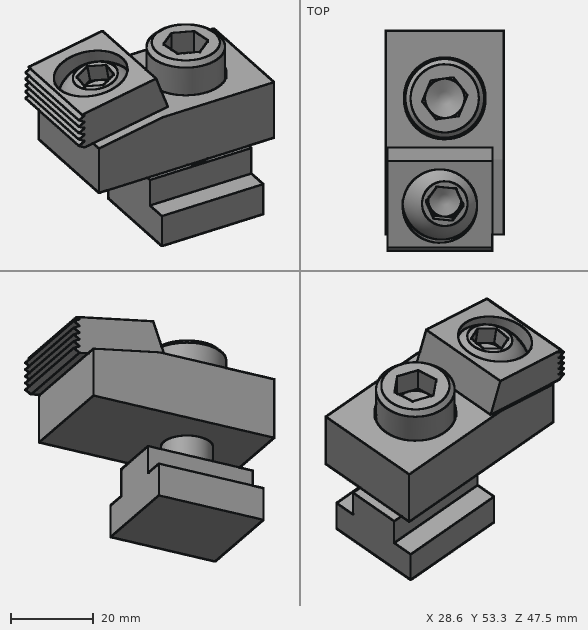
import cadquery as cq
import math


nut_length = 28.575
nut_base_width = 25.4
nut_stem_width = 14.1
nut_base_height = 8.6
nut_height = 15.875

body_width = 28.575
body_height = 15.875
body_back = 16.38
body_front = -32.95
body_gap = 6.13
body_bottom = nut_height + body_gap
body_top = body_bottom + body_height

tilt = 10.0
tilt_slope = math.tan(math.radians(tilt))

jaw_width = 25.4
jaw_thickness = 9.525
jaw_offset = -1.19
jaw_back = -11.9
jaw_peak = 47.5
jaw_back_lean = math.radians(2 * tilt)
jaw_back_length = jaw_thickness / math.cos(math.radians(tilt))
jaw_back_top = jaw_back - jaw_back_length * math.sin(jaw_back_lean)
jaw_back_bottom = jaw_peak - jaw_back_length * math.cos(jaw_back_lean)

tooth_count = 5
tooth_pitch = 1.825
tooth_angle = 60.0
tooth_depth = tooth_pitch / 2 / math.tan(math.radians(tooth_angle / 2))
tooth_root = -35.33
tooth_tip = tooth_root - tooth_depth

screw_diameter = 12.7

cap_head_diameter = 19.05
cap_head_height = 12.7
cap_head_top = 46.8
cap_head_chamfer = 1.27
cap_screw_length = 31.75
cap_counterbore_diameter = 19.84
cap_hex_flats = 9.525
cap_hex_depth = 6.22
cap_hex_turn = 8.0
cap_head_seat = cap_head_top - cap_head_height

button_sphere_radius = 11.11
button_flat_diameter = 11.0
button_head_height = 6.7
button_sink = 0.25
button_screw_length = 12.7
button_hex_flats = 7.9375
button_hex_depth = 4.4
button_hex_turn = -6.0
button_distance = 10.47

recess_diameter = 18.04
recess_distance = 11.03
recess_depth = button_sink + button_head_height

socket_cone_angle = 140.0

jaw_plane = cq.Plane(
    origin=(0, jaw_back_top, jaw_peak),
    xDir=(1, 0, 0),
    normal=(0, -math.sin(math.radians(tilt)), math.cos(math.radians(tilt))),
)


def ramp_height(y):
    """Z of the jaw's underside plane at a given Y."""
    return jaw_back_bottom + (y - jaw_back) * tilt_slope


def extrude_side_profile(points, width, centre_x):
    """Extrude a closed (Y, Z) outline symmetrically about X = centre_x."""
    side = cq.Workplane("YZ", origin=(centre_x, 0, 0))
    return side.polyline(points).close().extrude(width / 2, both=True)


def hex_socket(flats, depth, turn):
    """Hexagonal socket cutter with a conical floor, opening at Z = 0."""
    corners = flats / math.cos(math.radians(30))
    hexagon = (
        cq.Workplane("XY")
        .polygon(6, corners)
        .extrude(-depth)
        .rotate((0, 0, 0), (0, 0, 1), turn)
    )
    radius = flats / 2
    cone_height = radius / math.tan(math.radians(socket_cone_angle / 2))
    cone = (
        cq.Workplane("XZ")
        .polyline([(0, -depth), (radius, -depth), (0, -depth - cone_height)])
        .close()
        .revolve(360, (0, 0, 0), (0, 1, 0))
    )
    return hexagon.union(cone)


def cylinder(diameter, bottom, top):
    """Upright cylinder on the Z axis."""
    return cq.Workplane("XY", origin=(0, 0, bottom)).circle(diameter / 2).extrude(top - bottom)


def on_jaw(shape, distance, centre_x):
    """Move a shape built about the Z axis onto the jaw's upper face."""
    placed = shape.val().moved(cq.Location(cq.Vector(centre_x, -distance, 0)))
    return cq.Workplane(placed.moved(cq.Location(jaw_plane)))


def make_cap_screw_blank():
    """Socket cap screw without its socket, upright in its final place."""
    head = cylinder(cap_head_diameter, cap_head_seat, cap_head_top)
    head = head.faces(">Z").chamfer(cap_head_chamfer)
    shank = cylinder(screw_diameter, cap_head_seat - cap_screw_length, cap_head_seat)
    return head.union(shank)


def make_button_screw_blank():
    """Button head screw without its socket, its flat crown at Z = 0."""
    flat_radius = button_flat_diameter / 2
    sphere_centre = -math.sqrt(button_sphere_radius**2 - flat_radius**2)
    seat = -button_head_height
    rim_radius = math.sqrt(button_sphere_radius**2 - (seat - sphere_centre) ** 2)
    dome_z = seat / 2
    dome_radius = math.sqrt(button_sphere_radius**2 - (dome_z - sphere_centre) ** 2)
    head = (
        cq.Workplane("XZ")
        .moveTo(0, 0)
        .lineTo(flat_radius, 0)
        .threePointArc((dome_radius, dome_z), (rim_radius, seat))
        .lineTo(0, seat)
        .close()
        .revolve(360, (0, 0, 0), (0, 1, 0))
    )
    return head.union(cylinder(screw_diameter, seat - button_screw_length, seat))


def make_t_nut(cap_blank):
    """Inverted-T bar with a blind hole filled by the cap screw."""
    base = cq.Workplane("XY").rect(nut_base_width, nut_length).extrude(nut_base_height)
    stem = cq.Workplane("XY").rect(nut_stem_width, nut_length).extrude(nut_height)
    return base.union(stem).cut(cap_blank)


def make_body(cap_blank, button_blank):
    """Block with the jaw ramp, a clearance counterbore and holes for both screws."""
    ramp_start = jaw_back + (body_top - jaw_back_bottom) / tilt_slope
    outline = [
        (body_back, body_bottom),
        (body_back, body_top),
        (ramp_start, body_top),
        (body_front, ramp_height(body_front)),
        (body_front, body_bottom),
    ]
    block = extrude_side_profile(outline, body_width, 0)
    counterbore = cylinder(cap_counterbore_diameter, cap_head_seat, body_top)
    return block.cut(counterbore).cut(cap_blank).cut(button_blank)


def make_jaw(button_blank):
    """Tilted, toothed plate with a round recess and a pocket for the button screw."""
    root_bottom = ramp_height(tooth_root)
    outline = [
        (jaw_back_top, jaw_peak),
        (jaw_back, jaw_back_bottom),
        (tooth_root, root_bottom),
    ]
    for tooth in range(tooth_count):
        root_z = root_bottom + tooth * tooth_pitch
        outline.append((tooth_tip, root_z + tooth_pitch / 2))
        outline.append((tooth_root, root_z + tooth_pitch))
    last_root = root_bottom + tooth_count * tooth_pitch
    flank_slope = tooth_pitch / 2 / tooth_depth
    upper_at_root = jaw_peak + (tooth_root - jaw_back_top) * tilt_slope
    flank_run = (upper_at_root - last_root) / (flank_slope + tilt_slope)
    outline.append((tooth_root - flank_run, last_root + flank_run * flank_slope))

    plate = extrude_side_profile(outline, jaw_width, jaw_offset)
    recess = on_jaw(cylinder(recess_diameter, -recess_depth, 0), recess_distance, jaw_offset)
    return plate.cut(recess).cut(button_blank)


cap_blank = make_cap_screw_blank()
cap_socket = hex_socket(cap_hex_flats, cap_hex_depth, cap_hex_turn)
cap_screw = cap_blank.cut(cap_socket.translate((0, 0, cap_head_top)))

button_shape = make_button_screw_blank()
button_socket = hex_socket(button_hex_flats, button_hex_depth, button_hex_turn)
sink = (0, 0, -button_sink)
button_blank = on_jaw(button_shape.translate(sink), button_distance, 0)
button_screw = on_jaw(button_shape.cut(button_socket).translate(sink), button_distance, 0)

t_nut = make_t_nut(cap_blank)
body = make_body(cap_blank, button_blank)
jaw = make_jaw(button_blank)

result = cq.Compound.makeCompound(
    [t_nut.val(), body.val(), cap_screw.val(), jaw.val(), button_screw.val()]
)